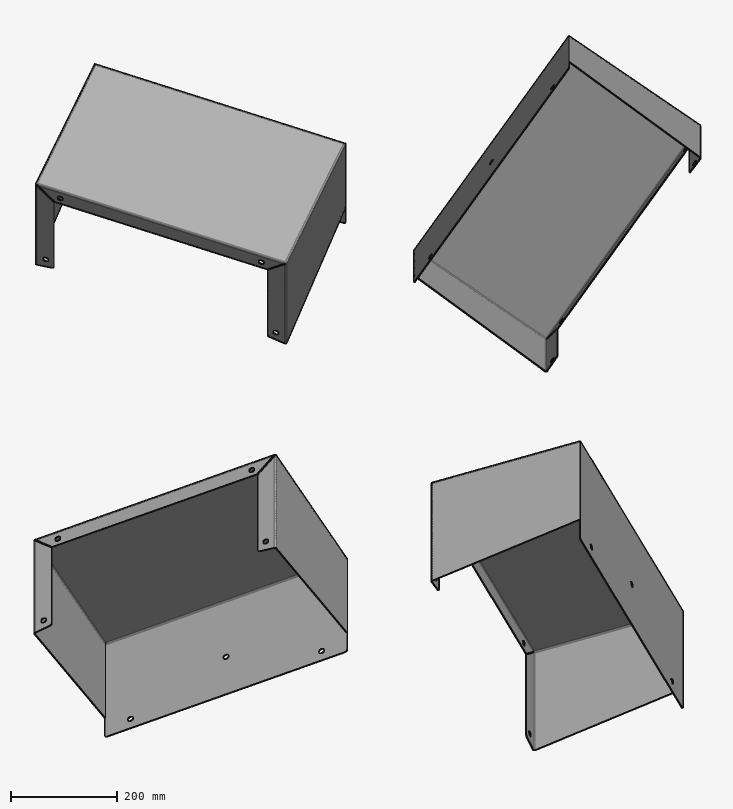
import cadquery as cq
import math

width = 508.0
depth = 305.0
height = 254.0

sheet = 2.0
bend_radius = 3.5

flange_width = 38.0
flange_corner_radius = 5.0
mitre_gap = 2.0
mitre_angle = 45

side_rise = 51.0
back_corner_radius = 5.0

hole_diameter = 11.0
low_hole_height = 25.5
flange_hole_inset = 21.5
top_flange_hole_inset = 51.0
back_hole_inset = 54.0
centre_hole_height = 101.5

half_width = width / 2
back_inside = depth - sheet
slope = side_rise / (back_inside - bend_radius)


def rounded_block(inset, radius):
    """Block inset from the outer walls, open at the bottom, rounded along its folded edges."""
    block = cq.Workplane("XY").box(
        width - 2 * inset, depth - 2 * inset, height - inset, centered=(True, False, False)
    ).translate((0, inset, 0))
    return block.edges(">Z or (|Z and <Y)").fillet(radius)


def front_opening():
    """Opening between the flanges; its lower corners follow the flange ends."""
    inner_x = half_width - flange_width
    bend_x = half_width - bend_radius
    flange_rise = slope * (bend_x - inner_x)
    opening = (
        cq.Workplane("XZ")
        .moveTo(-bend_x, 0)
        .lineTo(-inner_x, flange_rise)
        .lineTo(-inner_x, height - flange_width)
        .lineTo(inner_x, height - flange_width)
        .lineTo(inner_x, flange_rise)
        .lineTo(bend_x, 0)
        .close()
        .extrude(-bend_radius)
    )
    lower_corners = cq.selectors.BoxSelector(
        (-inner_x - sheet, -sheet, flange_rise - sheet),
        (inner_x + sheet, depth, flange_rise + sheet),
    )
    return opening.edges("|Y").edges(lower_corners).fillet(flange_corner_radius)


def mitre_slot(side):
    """Diagonal gap between the top flange and one side flange, starting inside the bends."""
    inner_end = flange_width + mitre_gap
    run = inner_end - bend_radius
    middle = (inner_end + bend_radius) / 2
    slot_length = math.hypot(run, run)
    slot = cq.Workplane("XY").box(slot_length, 2 * bend_radius, mitre_gap)
    slot = slot.rotate((0, 0, 0), (0, 1, 0), -side * mitre_angle)
    return slot.translate((side * (half_width - middle), 0, height - middle))


def side_wedge():
    """Material below the sloping side walls, ending at the back plate."""
    return (
        cq.Workplane("YZ")
        .moveTo(bend_radius, 0)
        .lineTo(back_inside, 0)
        .lineTo(back_inside, side_rise)
        .close()
        .extrude(half_width, both=True)
    )


def holes(centres, start_y):
    """Holes along Y through one sheet thickness."""
    return (
        cq.Workplane("XZ", origin=(0, start_y, 0))
        .pushPoints(centres)
        .circle(hole_diameter / 2)
        .extrude(-sheet)
    )


result = rounded_block(0, bend_radius).cut(rounded_block(sheet, bend_radius - sheet))
result = result.cut(front_opening()).cut(side_wedge())
result = result.edges("|Y and <Z and (<X or >X)").edges(">Y").fillet(back_corner_radius)

front_centres = []
back_centres = [(0, centre_hole_height)]
for side in (-1, 1):
    result = result.cut(mitre_slot(side))
    front_centres.append((side * (half_width - flange_hole_inset), low_hole_height))
    front_centres.append((side * (half_width - top_flange_hole_inset), height - flange_hole_inset))
    back_centres.append((side * (half_width - back_hole_inset), low_hole_height))

result = result.cut(holes(front_centres, 0)).cut(holes(back_centres, back_inside))